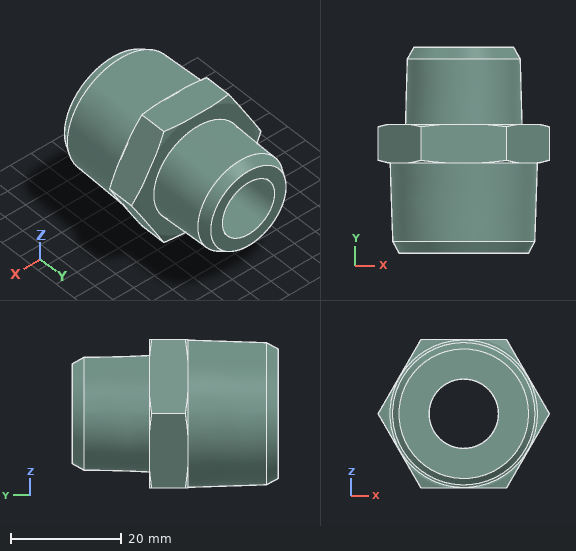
import cadquery as cq
import math

total_length = 37.5
across_flats = 27.0
bore_diameter = 12.55

hex_front = 16.45
hex_width = 7.0
hex_back = hex_front + hex_width

large_root, large_shoulder, large_face = 26.8, 25.88, 23.55
small_root, small_shoulder, small_face = 21.22, 20.6, 18.15
end_chamfer_length = 2.18

corner_chamfer_diameter = 27.75
corner_chamfer_angle = 15.0

across_corners = across_flats / math.cos(math.radians(30))


def revolve_about_y(points):
    """Revolve a closed (radius, y) outline about the Y axis."""
    return cq.Workplane("XY").polyline(points).close().revolve(360, (0, 0), (0, 1))


def make_tapered_body():
    return revolve_about_y([
        (0, 0),
        (large_face / 2, 0),
        (large_shoulder / 2, end_chamfer_length),
        (large_root / 2, hex_front),
        (small_root / 2, hex_back),
        (small_shoulder / 2, total_length - end_chamfer_length),
        (small_face / 2, total_length),
        (0, total_length),
    ])


def make_hexagon():
    """Hexagon with corners on the X axis, its corners chamfered on both sides."""
    prism = (
        cq.Workplane("XZ", origin=(0, hex_back, 0))
        .polygon(6, across_corners)
        .extrude(hex_width)
    )
    inner = corner_chamfer_diameter / 2
    outer = across_corners / 2 + 0.38
    drop = (outer - inner) * math.tan(math.radians(corner_chamfer_angle))
    envelope = revolve_about_y([
        (0, hex_front),
        (inner, hex_front),
        (outer, hex_front + drop),
        (outer, hex_back - drop),
        (inner, hex_back),
        (0, hex_back),
    ])
    return prism.intersect(envelope)


bore = cq.Workplane("XZ").circle(bore_diameter / 2).extrude(-total_length)

result = make_tapered_body().union(make_hexagon()).cut(bore)